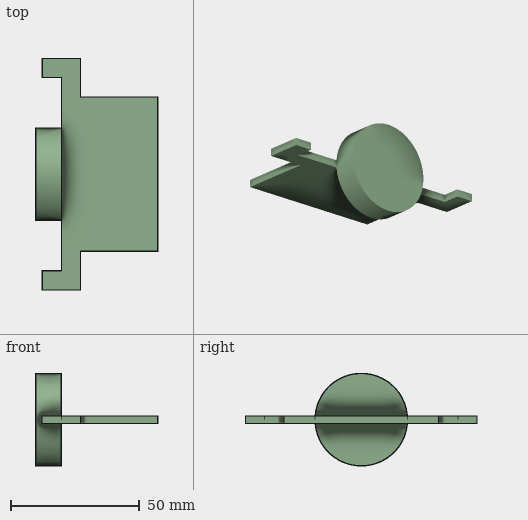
import cadquery as cq

plate_thickness = 3.0
plate_length = 30.0
plate_width = 60.0

crossbar_depth = 7.5
crossbar_width = 90.0
prong_length = 7.5
prong_width = 7.5

disc_diameter = 36.0
disc_thickness = 10.0



def make_block(x_start, length, width, y_center=0.0):
    """Block of plate thickness, running toward +X from x_start."""
    block = cq.Workplane("XY").box(length, width, plate_thickness, centered=(False, True, True))
    return block.translate((x_start, y_center, 0))


def make_sheet():
    """Plate, crossbar and prongs, all of one thickness."""
    sheet = make_block(0, crossbar_depth + plate_length, plate_width)
    sheet = sheet.union(make_block(0, crossbar_depth, crossbar_width))
    prong_center = (crossbar_width - prong_width) / 2
    for side in (-1, 1):
        prong = make_block(-prong_length, prong_length + crossbar_depth, prong_width, side * prong_center)
        sheet = sheet.union(prong)
    return sheet.clean()


def make_disc():
    """Disc with its axis along X, ending at the crossbar's front face."""
    return cq.Workplane("YZ").circle(disc_diameter / 2).extrude(-disc_thickness)


result = make_sheet().union(make_disc())